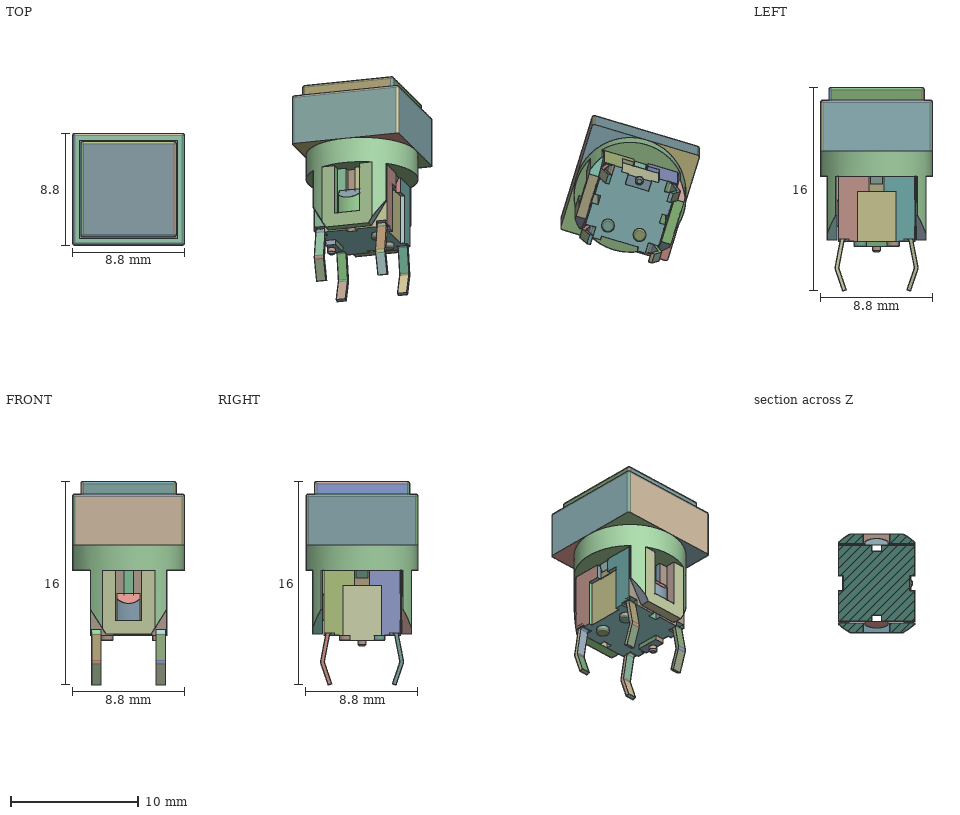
import cadquery as cq
import math

TOTAL_HEIGHT = 16.0
HOUSING_TOP = 15.0
HOUSING_BOTTOM = 11.0
COLLAR_BOTTOM = 9.0
BODY_BOTTOM = 3.9

HOUSING_WIDTH = 8.8
BUTTON_WIDTH = 7.5
BUTTON_GAP = 0.1
GAP_DEPTH = 2.0
EDGE_RADIUS = 0.2

BODY_WIDTH = 6.0
GROOVE_WIDTH = 0.74
GROOVE_DEPTH = 0.48

RECESS_WIDTH = 3.02
RECESS_DEPTH = 0.3
RECESS_TOP = 7.82
SLOT_WIDTH = 1.15
SLOT_DEPTH = 0.4
CATCH_WIDTH = 0.95
CATCH_BOTTOM = 8.43
CATCH_REACH = 0.27

TAB_INNER_Y = 3.1
TAB_OUTER_Y = 3.89
TAB_BOTTOM = 4.0
TAB_CORNER_RUN = 1.23
TAB_CORNER_RISE = 1.95
WINDOW_WIDTH = 2.06
WINDOW_BOTTOM = 5.09

LATCH_WIDTH = 1.82
LATCH_DIAMETER = 3.7
LATCH_NOSE_Y = 3.52
LATCH_BACK_TOP = 7.2
LATCH_NOSE_TOP = 6.42

LEG_WIDTH = 0.75
LEG_THICKNESS = 0.3
LEG_X = 2.53
LEG_TOP = 4.38
LEG_ROOT_Y = 2.16
LEG_SHOULDER_Y = 2.65
LEG_KNEE_Y = 3.12
LEG_KNEE_Z = 1.8
LEG_TIP_ANGLE = 18.8
LEG_BEND_RADIUS = 0.2
LEG_KNEE_RADIUS = 0.25

FOOT_DIAMETER = 1.0
FOOT_X = -1.71
FOOT_Y = 1.3
FOOT_HEIGHT = 0.4
FOOT_ROUNDING = 0.1
BLOCK_LEFT_X = 1.89
BLOCK_WIDTH = 1.92
PIN_DIAMETER = 0.64
PIN_X = 2.51
PIN_HEIGHT = 0.43
PIN_CHAMFER = 0.13


def box_between(x_range, y_range, z_range):
    """Box given by its limits along each axis."""
    (x0, x1), (y0, y1), (z0, z1) = x_range, y_range, z_range
    return cq.Workplane("XY").box(x1 - x0, y1 - y0, z1 - z0, centered=False).translate((x0, y0, z0))


def centered_block(width_x, width_y, bottom, top):
    """Block centred on the Z axis."""
    half_x = width_x / 2
    half_y = width_y / 2
    return box_between((-half_x, half_x), (-half_y, half_y), (bottom, top))


def disc(diameter, bottom, top):
    return cq.Workplane("XY").workplane(offset=bottom).circle(diameter / 2).extrude(top - bottom)


def both_sides(shape, plane):
    """The shape together with its mirror image."""
    return shape.union(shape.mirror(plane))


def head():
    """Square housing with a sunken gap round the push button, on a round collar."""
    gap_floor = HOUSING_TOP - GAP_DEPTH
    opening = BUTTON_WIDTH + 2 * BUTTON_GAP
    housing = centered_block(HOUSING_WIDTH, HOUSING_WIDTH, HOUSING_BOTTOM, HOUSING_TOP)
    housing = housing.edges("|Z or >Z").fillet(EDGE_RADIUS)
    housing = housing.cut(centered_block(opening, opening, gap_floor, HOUSING_TOP))
    button = centered_block(BUTTON_WIDTH, BUTTON_WIDTH, gap_floor, TOTAL_HEIGHT)
    button = button.edges("|Z or >Z").fillet(EDGE_RADIUS)
    collar = disc(HOUSING_WIDTH, COLLAR_BOTTOM, HOUSING_BOTTOM)
    return housing.union(button).union(collar)


def side_cutout():
    """Recess and slot in the -X face, less the sloping catch left in the slot."""
    face_x = -BODY_WIDTH / 2
    half_recess = RECESS_WIDTH / 2
    half_slot = SLOT_WIDTH / 2
    slot_floor_x = face_x + SLOT_DEPTH
    recess = box_between(
        (face_x, face_x + RECESS_DEPTH), (-half_recess, half_recess), (BODY_BOTTOM, RECESS_TOP)
    )
    slot = box_between((face_x, slot_floor_x), (-half_slot, half_slot), (RECESS_TOP, COLLAR_BOTTOM))
    catch = (
        cq.Workplane("XZ")
        .moveTo(slot_floor_x, CATCH_BOTTOM)
        .lineTo(slot_floor_x, COLLAR_BOTTOM)
        .lineTo(slot_floor_x - CATCH_REACH, COLLAR_BOTTOM)
        .close()
        .extrude(CATCH_WIDTH / 2, both=True)
    )
    return recess.union(slot.cut(catch))


def leg_notch():
    """Room for one leg, open to the bottom and low down to the side, at the (-X, -Y) corner."""
    face = -BODY_WIDTH / 2
    inner_x = -LEG_X + LEG_WIDTH / 2
    y_range = (face, -LEG_ROOT_Y)
    upper = box_between((inner_x - LEG_WIDTH, inner_x), y_range, (BODY_BOTTOM, LEG_TOP))
    side = box_between((face, inner_x), y_range, (BODY_BOTTOM, LEG_TOP - LEG_THICKNESS))
    return upper.union(side)


def body():
    """Square block with a groove down each Y face, cut for the side recesses and the legs."""
    block = centered_block(BODY_WIDTH, BODY_WIDTH, BODY_BOTTOM, COLLAR_BOTTOM)
    half_groove = GROOVE_WIDTH / 2
    face_y = -BODY_WIDTH / 2
    groove = box_between(
        (-half_groove, half_groove), (face_y, face_y + GROOVE_DEPTH), (BODY_BOTTOM, COLLAR_BOTTOM)
    )
    notches = both_sides(both_sides(leg_notch(), "YZ"), "XZ")
    return block.cut(both_sides(groove, "XZ")).cut(both_sides(side_cutout(), "YZ")).cut(notches)


def tab():
    """Windowed tab on the -Y side, rounded by the collar and with its lower corners cut off."""
    half_width = BODY_WIDTH / 2
    corner_z = TAB_BOTTOM + TAB_CORNER_RISE
    half_bottom = half_width - TAB_CORNER_RUN
    plate = (
        cq.Workplane("XZ", origin=(0, -TAB_INNER_Y, 0))
        .polyline(
            [
                (-half_width, COLLAR_BOTTOM),
                (-half_width, corner_z),
                (-half_bottom, TAB_BOTTOM),
                (half_bottom, TAB_BOTTOM),
                (half_width, corner_z),
                (half_width, COLLAR_BOTTOM),
            ]
        )
        .close()
        .extrude(TAB_OUTER_Y - TAB_INNER_Y)
    )
    window = centered_block(WINDOW_WIDTH, HOUSING_WIDTH, WINDOW_BOTTOM, COLLAR_BOTTOM)
    return plate.intersect(disc(HOUSING_WIDTH, TAB_BOTTOM, COLLAR_BOTTOM)).cut(window)


def latch():
    """Round-nosed latch with a sloping top on the -Y face of the body."""
    root_y = -BODY_WIDTH / 2
    profile = [
        (root_y, WINDOW_BOTTOM),
        (root_y, LATCH_BACK_TOP),
        (-LATCH_NOSE_Y, LATCH_NOSE_TOP),
        (-LATCH_NOSE_Y, WINDOW_BOTTOM),
    ]
    wedge = cq.Workplane("YZ").polyline(profile).close().extrude(LATCH_WIDTH / 2, both=True)
    nose = disc(LATCH_DIAMETER, WINDOW_BOTTOM, LATCH_BACK_TOP)
    return wedge.intersect(nose.translate((0, LATCH_DIAMETER / 2 - LATCH_NOSE_Y, 0)))


def leg():
    """Strip leaving the body level, then bent down and outward, then back inward at the knee."""
    half = LEG_THICKNESS / 2
    tip_angle = math.radians(LEG_TIP_ANGLE)
    shoulder_z = LEG_TOP - half
    shank_angle = math.atan2(LEG_KNEE_Y - LEG_SHOULDER_Y, shoulder_z - LEG_KNEE_Z)
    tip_z = half * math.sin(tip_angle)
    tip_y = LEG_KNEE_Y - (LEG_KNEE_Z - tip_z) * math.tan(tip_angle)

    shoulder_dy = half * (1 - math.sin(shank_angle)) / math.cos(shank_angle)
    knee_reach = half / math.cos((shank_angle + tip_angle) / 2)
    knee_tilt = (tip_angle - shank_angle) / 2
    knee_dy = knee_reach * math.cos(knee_tilt)
    knee_dz = -knee_reach * math.sin(knee_tilt)
    tip_dy = half * math.cos(tip_angle)
    outline = [
        (LEG_ROOT_Y, LEG_TOP),
        (LEG_SHOULDER_Y + shoulder_dy, LEG_TOP),
        (LEG_KNEE_Y + knee_dy, LEG_KNEE_Z + knee_dz),
        (tip_y + tip_dy, 0),
        (tip_y - tip_dy, 2 * tip_z),
        (LEG_KNEE_Y - knee_dy, LEG_KNEE_Z - knee_dz),
        (LEG_SHOULDER_Y - shoulder_dy, LEG_TOP - LEG_THICKNESS),
        (LEG_ROOT_Y, LEG_TOP - LEG_THICKNESS),
    ]
    strip = cq.Workplane("YZ", origin=(LEG_X, 0, 0)).polyline(outline).close()
    strip = strip.extrude(LEG_WIDTH / 2, both=True)

    def round_bend(shape, corner, radius):
        near = cq.selectors.NearestToPointSelector((LEG_X, *corner))
        return shape.edges("|X").edges(near).fillet(radius)

    strip = round_bend(strip, outline[1], LEG_BEND_RADIUS + LEG_THICKNESS)
    strip = round_bend(strip, outline[6], LEG_BEND_RADIUS)
    strip = round_bend(strip, outline[2], LEG_KNEE_RADIUS + LEG_THICKNESS)
    return round_bend(strip, outline[5], LEG_KNEE_RADIUS)


def underside():
    """Two round feet near -X, and a block carrying a locating pin near +X."""
    foot_bottom = BODY_BOTTOM - FOOT_HEIGHT
    foot = disc(FOOT_DIAMETER, foot_bottom, BODY_BOTTOM).faces("<Z").edges().fillet(FOOT_ROUNDING)
    feet = both_sides(foot.translate((FOOT_X, FOOT_Y, 0)), "XZ")
    block = box_between(
        (BLOCK_LEFT_X, BODY_WIDTH / 2 - RECESS_DEPTH),
        (-BLOCK_WIDTH / 2, BLOCK_WIDTH / 2),
        (foot_bottom, BODY_BOTTOM),
    )
    pin = disc(PIN_DIAMETER, foot_bottom - PIN_HEIGHT, foot_bottom)
    pin = pin.faces("<Z").edges().chamfer(PIN_CHAMFER).translate((PIN_X, 0, 0))
    return feet.union(block).union(pin)


result = (
    head()
    .union(body())
    .union(both_sides(tab(), "XZ"))
    .union(both_sides(latch(), "XZ"))
    .union(both_sides(both_sides(leg(), "XZ"), "YZ"))
    .union(underside())
)